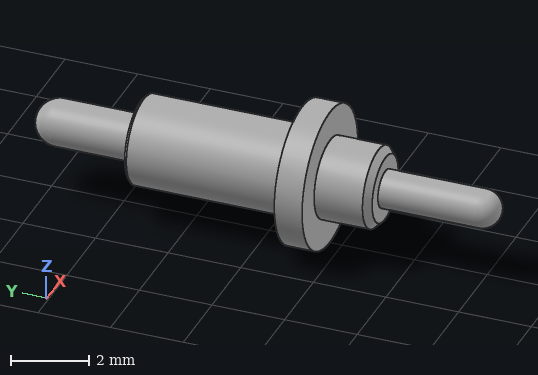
import cadquery as cq

total_length = 12.79
tail_diameter = 1.04
tail_length = 3.2
neck_diameter = 2.21
neck_length = 1.52
neck_chamfer = 0.19
flange_diameter = 3.89
flange_thickness = 0.77
barrel_diameter = 2.42
barrel_length = 4.44
barrel_chamfer = 0.08
plunger_diameter = 1.27

plunger_length = total_length - tail_length - neck_length - flange_thickness - barrel_length

neck_start = tail_length - total_length / 2
flange_start = neck_start + neck_length
barrel_start = flange_start + flange_thickness
barrel_end = barrel_start + barrel_length


def cylinder_along_y(diameter, start, length):
    """Solid cylinder centred on the Y axis, extending towards +Y from start."""
    plane = cq.Workplane("XZ", origin=(0, start, 0))
    return plane.circle(diameter / 2).extrude(-length)


def round_tipped_pin(diameter, start, length, tip_side):
    """Cylinder whose end on the given side is a full hemisphere."""
    pin = cylinder_along_y(diameter, start, length - diameter / 2)
    if tip_side == "<Y":
        pin = pin.translate((0, diameter / 2, 0))
        dome_center = start + diameter / 2
    else:
        dome_center = start + length - diameter / 2
    dome = cq.Workplane("XY").sphere(diameter / 2).translate((0, dome_center, 0))
    return pin.union(dome)


tail = round_tipped_pin(tail_diameter, -total_length / 2, tail_length, "<Y")
neck = cylinder_along_y(neck_diameter, neck_start, neck_length).faces("<Y").chamfer(neck_chamfer)
flange = cylinder_along_y(flange_diameter, flange_start, flange_thickness)
barrel = cylinder_along_y(barrel_diameter, barrel_start, barrel_length).faces(">Y").chamfer(barrel_chamfer)
plunger = round_tipped_pin(plunger_diameter, barrel_end, plunger_length, ">Y")

result = flange.union(neck).union(barrel).union(tail).union(plunger)